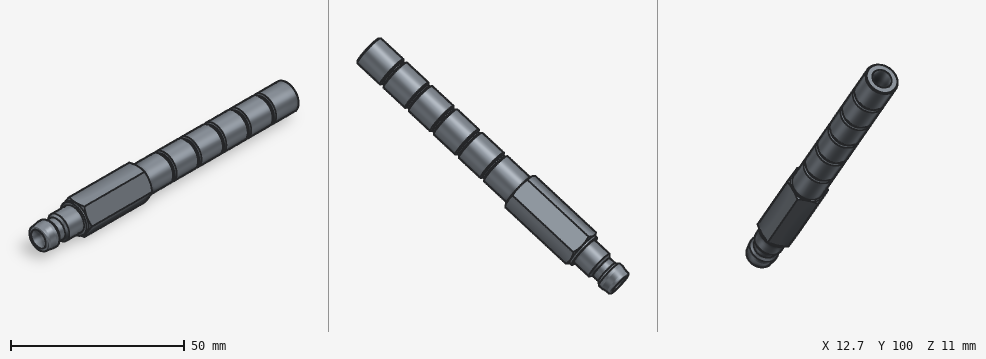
import cadquery as cq
import math

length = 100.0
bore_radius = 3.0

tip_radius = 4.1
tip_length = 1.1
tip_fillet = 0.4
plug_diameter = 8.9
plug_radius = plug_diameter / 2
taper_end = 2.9
bead_end = 4.1
plug_groove_start = 5.0
plug_groove_end = 7.2
plug_groove_radius = 3.6
plug_shoulder = plug_groove_end + plug_radius - plug_groove_radius

collar_start = 14.0
collar_radius = 5.4
hex_start = 14.8
hex_end = 40.0
hex_across_flats = 11.0
hex_across_corners = hex_across_flats / math.cos(math.radians(30))
hex_chamfer_angle = 30.0
hex_rear_radius = 5.6

shank_radius = 5.0
shank_end_chamfer = 0.3
groove_count = 5
groove_pitch = 10.0
groove_offset = 10.0
groove_depth = 0.6
groove_width = 1.4
groove_floor_width = 0.6


def revolve_about_y(points):
    """Solid of revolution about Y from (radius, y) points."""
    return cq.Workplane("XY").polyline(points).close().revolve(360, (0, 0, 0), (0, 1, 0))


def make_turned_body():
    """Solid plug, collar and shank with a rounded plug tip."""
    body = revolve_about_y([
        (0, 0),
        (tip_radius, 0),
        (tip_radius, tip_length),
        (plug_radius, taper_end),
        (plug_radius, bead_end),
        (plug_groove_radius, plug_groove_start),
        (plug_groove_radius, plug_groove_end),
        (plug_radius, plug_shoulder),
        (plug_radius, collar_start),
        (collar_radius, collar_start),
        (collar_radius, hex_start),
        (shank_radius, hex_start),
        (shank_radius, length - shank_end_chamfer),
        (shank_radius - shank_end_chamfer, length),
        (0, length),
    ])
    return body.faces("<Y").edges().fillet(tip_fillet)


def make_hexagon():
    """Hexagonal grip with conical chamfers on the corners at both ends."""
    grip = (
        cq.Workplane("XZ", origin=(0, hex_end, 0))
        .polygon(6, hex_across_corners)
        .extrude(hex_end - hex_start)
    )
    corner_radius = hex_across_corners / 2
    slope = math.tan(math.radians(hex_chamfer_angle))
    envelope = revolve_about_y([
        (0, hex_start),
        (collar_radius, hex_start),
        (corner_radius, hex_start + (corner_radius - collar_radius) * slope),
        (corner_radius, hex_end - (corner_radius - hex_rear_radius) * slope),
        (hex_rear_radius, hex_end),
        (0, hex_end),
    ])
    return grip.intersect(envelope)


def make_groove(center):
    """Ring cutter with sloping sides for one marking groove."""
    floor_radius = shank_radius - groove_depth
    return revolve_about_y([
        (shank_radius, center - groove_width / 2),
        (floor_radius, center - groove_floor_width / 2),
        (floor_radius, center + groove_floor_width / 2),
        (shank_radius, center + groove_width / 2),
    ])


result = make_turned_body().union(make_hexagon())
for index in range(groove_count):
    result = result.cut(make_groove(length - groove_offset - index * groove_pitch))

bore = cq.Workplane("XZ").circle(bore_radius).extrude(-length)
result = result.cut(bore)